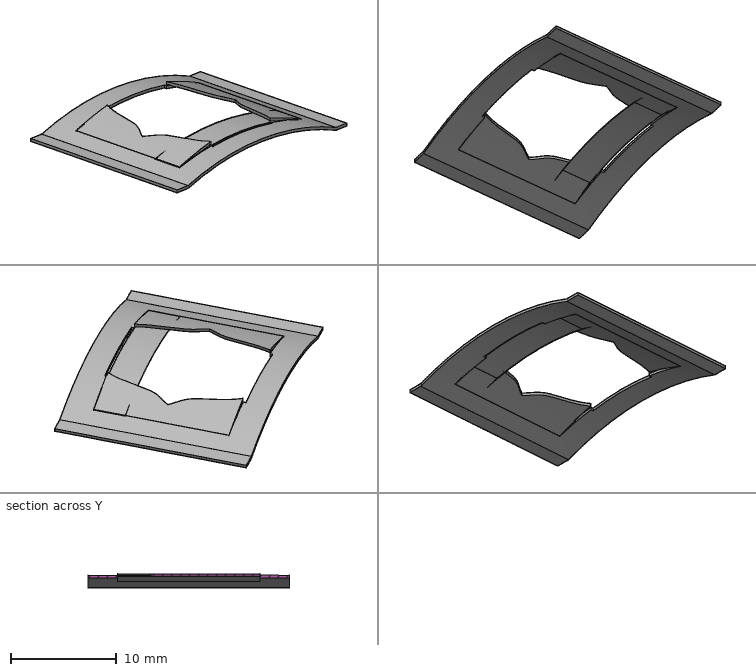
import cadquery as cq

width = 19.05
length = 23.37
thickness = 0.3
flange_length = 1.52
crown_height = 2.13

window_width = 13.45
window_length = 16.78
slot_width = 14.02
slot_length = 8.13
strip_inner_x = 3.58
strip_thickness = 0.07

tip_y = slot_length / 2
root_y = window_length / 2
root_step = 0.02
flap_top = 2.27
flap_mid_y = 6.38
flap_mid_height = 1.61

notch_y = 6.38
wave_points = [(1.4, 5.5), (3.5, 4.93), (5.15, 4.6)]
wave_start_slope = (2.0, -1.0)

bend_y = length / 2 - flange_length
rise = crown_height - thickness
arch_radius = (bend_y**2 + rise**2) / (2 * rise)
tool_height = 4 * crown_height


def arch_height(y):
    """Height of the upper face of the arch at distance y from its crown."""
    return crown_height - arch_radius + (arch_radius**2 - y**2) ** 0.5


def extrude_along_x(profile, x_start, x_end):
    """Extrude a closed YZ profile between two X positions."""
    return profile.extrude(x_end - x_start).translate((x_start, 0, 0))


def make_sheet():
    """Arched sheet with a flat flange at each end."""
    end_y = length / 2
    profile = (
        cq.Workplane("YZ")
        .moveTo(-end_y, 0)
        .lineTo(-bend_y, 0)
        .threePointArc((0, crown_height - thickness), (bend_y, 0))
        .lineTo(end_y, 0)
        .lineTo(end_y, thickness)
        .lineTo(bend_y, thickness)
        .threePointArc((0, crown_height), (-bend_y, thickness))
        .lineTo(-end_y, thickness)
        .close()
    )
    return extrude_along_x(profile, -width / 2, width / 2)


def make_strip_relief():
    """Volume below the strip, removed so that only a thin skin of the arch is left."""
    end_y = window_length / 2
    end_height = arch_height(end_y) - strip_thickness
    profile = (
        cq.Workplane("YZ")
        .moveTo(-end_y, 0)
        .lineTo(-end_y, end_height)
        .threePointArc((0, crown_height - strip_thickness), (end_y, end_height))
        .lineTo(end_y, 0)
        .close()
    )
    return extrude_along_x(profile, strip_inner_x, window_width / 2)


def make_frame():
    """Sheet with a stepped window and an off-centre thin strip across the window."""
    window = cq.Workplane("XY").box(window_width, window_length, tool_height)
    slot = cq.Workplane("XY").box(slot_width, slot_length, tool_height)
    strip_width = window_width / 2 - strip_inner_x
    strip_area = cq.Workplane("XY").box(strip_width, length, tool_height)
    strip_area = strip_area.translate((strip_inner_x + strip_width / 2, 0, 0))
    opening = window.union(slot).cut(strip_area)
    return make_sheet().cut(opening).cut(make_strip_relief())


def make_wave_outline():
    """Plan outline of a flap, with the wavy edge facing the middle of the part."""
    half_width = window_width / 2
    right_wave = [*wave_points, (half_width, tip_y)]
    left_wave = [(-x, y) for x, y in reversed(right_wave)]
    start_x, start_y = wave_start_slope
    return (
        cq.Workplane("XY")
        .moveTo(-half_width, root_y)
        .lineTo(-half_width, tip_y)
        .spline(
            left_wave[1:] + [(0, notch_y)],
            tangents=[(start_x, -start_y), (start_x, -start_y)],
            includeCurrent=True,
        )
        .spline(right_wave, tangents=[wave_start_slope, wave_start_slope], includeCurrent=True)
        .lineTo(half_width, root_y)
        .close()
        .extrude(tool_height)
    )


def make_flap(frame):
    """Raised curved flap at the +Y end of the window, relieved over the strip."""
    root_height = arch_height(root_y) + root_step
    profile = (
        cq.Workplane("YZ")
        .moveTo(root_y, root_height)
        .threePointArc((flap_mid_y, flap_mid_height), (tip_y, flap_top))
        .lineTo(tip_y, flap_top - thickness)
        .threePointArc((flap_mid_y, flap_mid_height - thickness), (root_y, root_height - thickness))
        .close()
    )
    plate = extrude_along_x(profile, -window_width / 2, window_width / 2)
    return plate.intersect(make_wave_outline()).cut(frame)


frame = make_frame()
flaps = []
for at_front in (False, True):
    flap = make_flap(frame)
    flaps.append(flap.mirror("XZ") if at_front else flap)

bodies = [frame, *flaps]
result = cq.Compound.makeCompound([solid for body in bodies for solid in body.solids().vals()])